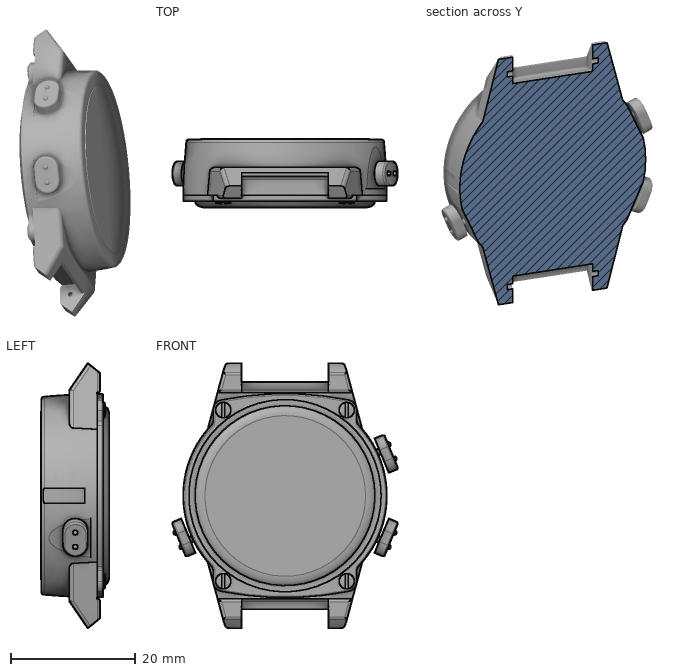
import cadquery as cq
import math

case_radius = 16.44
waist_radius = 16.29
bezel_radius = 15.95
bezel_edge_radius = 0.5
case_depth = 9.0
crystal_rise = 0.1
crystal_radius = 13.5
side_flat_distance = 15.95
side_flat_width = 2.46
side_flat_start = 2.0

lug_tip_z = 21.375
lug_tip_y = 1.49
lug_back_y = 4.5
lug_shoulder_z = 17.0
lug_foot_height = 0.52
lug_foot_end_z = 19.76
lug_root_z = 8.0
lug_outline_margin = 2.0
lug_taper_angle = 15.0
lug_draft_angle = 4.0
lug_half_width_at_tip = 9.62
lug_back_fillet = 0.7
lug_foot_fillet = 0.5

strap_width = 14.0
strap_wall_z = 16.6
strap_ledge_y = 3.05
strap_ledge_end_z = 18.33
strap_corner_radius = 0.45
spring_bar_hole_diameter = 0.8
spring_bar_hole_depth = 1.0
spring_bar_y = 1.2
spring_bar_z = 18.3

cap_angle = 22.5
stem_angle = 25.0
button_places = [(1, 1), (1, -1), (-1, -1)]
button_length = 6.0
button_width = 4.0
button_y = 3.5
button_inner_distance = 16.86
button_outer_distance = 18.55
button_edge_fillet = 0.3
button_seat_distance = 16.06
button_seat_start_y = 1.0
button_stem_radius = 0.5
button_stem_overlap = 0.2
bump_radius = 0.4
bump_spacing = 2.5

plate_thickness = 1.0
plate_edge_radius = 0.25
plate_top_z = 16.45
window_radius = 15.5
screw_x = 9.95
screw_z = 13.8
ear_radius = 1.65
ear_blend_radius = 1.0
screw_head_radius = 1.23
screw_rim_height = 0.25
screw_head_height = 0.4
screw_slot_width = 0.5
screw_slot_depth = 0.3

lens_outer_radius = 14.5
lens_flat_radius = 12.95
lens_rise = 1.0


def y_cylinder(radius, y_start, y_end):
    """Cylinder on the Y axis from y_start to y_end."""
    length = y_end - y_start
    return cq.Workplane("XZ", origin=(0, y_start, 0)).circle(radius).extrude(-length)


def box_between(x_range, y_range, z_range):
    """Box given by its two limits along each axis."""
    size = [high - low for low, high in (x_range, y_range, z_range)]
    corner = (x_range[0], y_range[0], z_range[0])
    return cq.Workplane("XY").box(*size, centered=False).translate(corner)


def make_barrel():
    barrel = (
        cq.Workplane("XY")
        .lineTo(case_radius, 0)
        .threePointArc((waist_radius, case_depth / 2), (bezel_radius, case_depth))
        .lineTo(0, case_depth)
        .close()
        .revolve(360, (0, 0, 0), (0, 1, 0))
        .faces(">Y")
        .edges()
        .fillet(bezel_edge_radius)
    )
    crystal = y_cylinder(crystal_radius, 0, case_depth + crystal_rise)
    side_flat = box_between(
        (-case_radius, -side_flat_distance),
        (side_flat_start, case_depth),
        (-side_flat_width / 2, side_flat_width / 2),
    )
    return barrel.union(crystal).cut(side_flat)


def make_lug_block():
    """Full-width tapered block on the +Z side, before the strap gap is cut."""
    side_profile = [
        (lug_back_y, lug_root_z),
        (lug_back_y, lug_shoulder_z),
        (lug_tip_y, lug_tip_z),
        (-lug_foot_height, lug_foot_end_z),
        (-lug_foot_height, strap_wall_z),
        (0, strap_wall_z),
        (0, lug_root_z),
    ]
    past_tip_z = lug_tip_z + lug_outline_margin
    past_root_z = lug_root_z - lug_outline_margin
    taper = math.tan(math.radians(lug_taper_angle))
    past_tip_half_width = lug_half_width_at_tip - lug_outline_margin * taper
    root_half_width = lug_half_width_at_tip + (lug_tip_z - past_root_z) * taper
    profile_block = cq.Workplane("YZ").polyline(side_profile).close().extrude(root_half_width, both=True)
    outline = [
        (past_root_z, -root_half_width),
        (past_tip_z, -past_tip_half_width),
        (past_tip_z, past_tip_half_width),
        (past_root_z, root_half_width),
    ]
    drafted_depth = 2 * lug_back_y
    drafted_block = cq.Workplane("ZX").polyline(outline).close().extrude(drafted_depth, taper=lug_draft_angle)
    foot_block = cq.Workplane("ZX").polyline(outline).close().extrude(-2 * lug_foot_height)
    taper_block = drafted_block.union(foot_block)
    block = profile_block.intersect(taper_block)
    block = block.faces("<Y").edges().fillet(lug_foot_fillet)
    region_start_y = (lug_tip_y + lug_back_y) / 2 - lug_foot_height
    region_start_z = lug_root_z + lug_outline_margin
    back_region = cq.selectors.BoxSelector(
        (-root_half_width, region_start_y, region_start_z),
        (root_half_width, 2 * lug_back_y, lug_tip_z),
    )
    return block.edges(back_region).edges("not |X").fillet(lug_back_fillet)


def make_strap_gap():
    """Cutters for the space between the lugs, rounded under the ledge, and for the spring bar holes."""
    half_width = strap_width / 2
    beyond = 2 * lug_tip_z
    under_ledge = box_between(
        (-half_width, half_width), (-2 * lug_foot_height, strap_ledge_y), (strap_wall_z, beyond)
    )
    under_ledge = under_ledge.edges("|X and >Y and <Z").fillet(strap_corner_radius)
    past_ledge = box_between(
        (-half_width, half_width), (0, 2 * lug_back_y), (strap_ledge_end_z, beyond)
    )
    spring_bar_holes = (
        cq.Workplane("YZ")
        .center(spring_bar_y, spring_bar_z)
        .circle(spring_bar_hole_diameter / 2)
        .extrude(half_width + spring_bar_hole_depth, both=True)
    )
    return under_ledge.union(past_ledge), spring_bar_holes


def make_button_seat():
    """Cutter for the case flat behind a button, facing +X."""
    return box_between(
        (button_seat_distance, 2 * case_radius),
        (button_seat_start_y, case_depth),
        (-button_length, button_length),
    )


def make_button_cap():
    """Button cap pointing along +X, with two bumps on its face."""
    cap = (
        cq.Workplane("YZ", origin=(button_inner_distance, button_y, 0))
        .slot2D(button_length, button_width, 90)
        .extrude(button_outer_distance - button_inner_distance)
        .faces(">X")
        .edges()
        .fillet(button_edge_fillet)
    )
    for side in (-1, 1):
        center = (button_outer_distance, button_y, side * bump_spacing / 2)
        cap = cap.union(cq.Workplane("XY").sphere(bump_radius).translate(center))
    return cap


def make_button_stem():
    """Round stem along +X that reaches from the case flat into the cap."""
    length = button_inner_distance - button_seat_distance + 2 * button_stem_overlap
    return (
        cq.Workplane("YZ", origin=(button_seat_distance - button_stem_overlap, button_y, 0))
        .circle(button_stem_radius)
        .extrude(length)
    )


def place_at_button(shape, angle, x_side, z_side):
    """Turn a shape from +X toward +Z, then mirror it to the chosen quarter."""
    placed = shape.rotate((0, 0, 0), (0, 1, 0), -angle)
    if x_side < 0:
        placed = placed.mirror("YZ")
    if z_side < 0:
        placed = placed.mirror("XY")
    return placed


def make_case():
    case = make_barrel()
    for x_side, z_side in button_places:
        case = case.cut(place_at_button(make_button_seat(), stem_angle, x_side, z_side))
    strap_gap, spring_bar_holes = make_strap_gap()
    lugs = make_lug_block().cut(strap_gap).cut(spring_bar_holes)
    case = case.union(lugs).union(lugs.mirror("XY"))
    for x_side, z_side in button_places:
        case = case.union(place_at_button(make_button_stem(), stem_angle, x_side, z_side))
        case = case.union(place_at_button(make_button_cap(), cap_angle, x_side, z_side))
    return case


def make_ear_panel():
    """Barrel-sided panel whose rounded corners surround the screws."""
    drop = plate_top_z - screw_z
    edge_radius = (screw_x**2 + drop**2 - ear_radius**2) / (2 * (drop - ear_radius))
    edge_center_z = plate_top_z - edge_radius
    lean = math.atan2(screw_x, screw_z - edge_center_z)
    tangent_x = screw_x + ear_radius * math.sin(lean)
    tangent_z = screw_z + ear_radius * math.cos(lean)
    middle = (lean + math.pi / 2) / 2
    ear_mid_x = screw_x + ear_radius * math.sin(middle)
    ear_mid_z = screw_z + ear_radius * math.cos(middle)
    side_x = screw_x + ear_radius
    return (
        cq.Workplane("XZ")
        .moveTo(-side_x, -screw_z)
        .lineTo(-side_x, screw_z)
        .threePointArc((-ear_mid_x, ear_mid_z), (-tangent_x, tangent_z))
        .threePointArc((0, plate_top_z), (tangent_x, tangent_z))
        .threePointArc((ear_mid_x, ear_mid_z), (side_x, screw_z))
        .lineTo(side_x, -screw_z)
        .threePointArc((ear_mid_x, -ear_mid_z), (tangent_x, -tangent_z))
        .threePointArc((0, -plate_top_z), (-tangent_x, -tangent_z))
        .threePointArc((-ear_mid_x, -ear_mid_z), (-side_x, -screw_z))
        .close()
        .extrude(plate_thickness)
    )


def make_screw_head():
    """Domed, slotted head standing on the plate at the origin of X and Z."""
    rim_y = -plate_thickness - screw_rim_height
    top_y = -plate_thickness - screw_head_height
    dome_rise = screw_head_height - screw_rim_height
    dome_radius = (screw_head_radius**2 + dome_rise**2) / (2 * dome_rise)
    half_angle = math.asin(screw_head_radius / dome_radius) / 2
    dome_mid = (
        dome_radius * math.sin(half_angle),
        top_y + dome_radius * (1 - math.cos(half_angle)),
    )
    head = (
        cq.Workplane("XY")
        .moveTo(0, -plate_thickness / 2)
        .lineTo(screw_head_radius, -plate_thickness / 2)
        .lineTo(screw_head_radius, rim_y)
        .threePointArc(dome_mid, (0, top_y))
        .close()
        .revolve(360, (0, 0, 0), (0, 1, 0))
    )
    slot = box_between(
        (-screw_slot_width / 2, screw_slot_width / 2),
        (2 * top_y, top_y + screw_slot_depth),
        (-screw_head_radius, screw_head_radius),
    )
    return head.cut(slot)


def make_back_plate():
    plate = y_cylinder(case_radius, -plate_thickness, 0).union(make_ear_panel())
    corner_reach_x = screw_x + 2 * ear_radius
    corner_reach_z = screw_z - ear_radius / 2
    inner_corners = cq.selectors.BoxSelector(
        (-corner_reach_x, -plate_thickness, -corner_reach_z),
        (corner_reach_x, 0, corner_reach_z),
    )
    plate = plate.edges("|Y").edges(inner_corners).fillet(ear_blend_radius)
    plate = plate.faces("<Y").edges().fillet(plate_edge_radius)
    plate = plate.cut(y_cylinder(window_radius, -plate_thickness, 0))
    window = y_cylinder(window_radius, -2 * plate_thickness, 0)
    for x in (-screw_x, screw_x):
        for z in (-screw_z, screw_z):
            plate = plate.union(make_screw_head().translate((x, 0, z)).cut(window))
    return plate


def make_lens():
    """Disc that fills the plate window flush, with a rounded raised middle."""
    top_y = -plate_thickness - lens_rise
    return (
        cq.Workplane("XY")
        .moveTo(0, 0)
        .lineTo(window_radius, 0)
        .lineTo(window_radius, -plate_thickness)
        .lineTo(lens_outer_radius, -plate_thickness)
        .ellipseArc(lens_outer_radius - lens_flat_radius, lens_rise, 270, 360, sense=-1)
        .lineTo(0, top_y)
        .close()
        .revolve(360, (0, 0, 0), (0, 1, 0))
    )


case = make_case()
back_plate = make_back_plate()
lens = make_lens()

result = cq.Compound.makeCompound([case.val(), back_plate.val(), lens.val()])